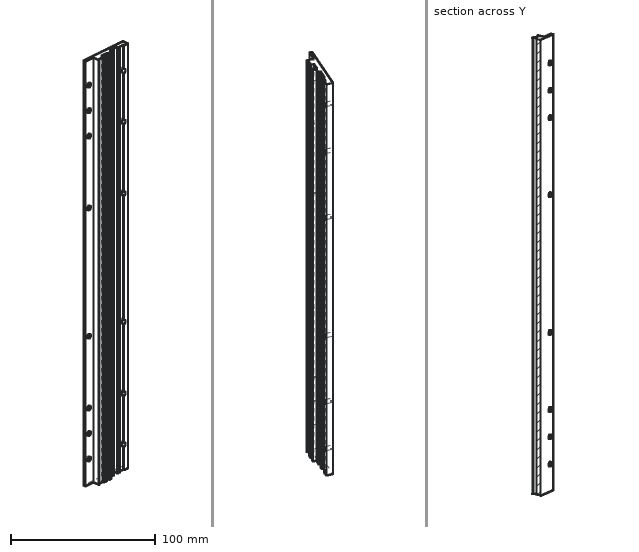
import cadquery as cq

length = 333.0
width = 39.5
back_face = 0.0

flange_level = 2.0
low_slot_floor = 3.0
high_slot_floor = 4.0
low_level = 5.0
high_groove_floor = 6.3
high_level = 7.3
lip_thickness = 0.3

flange_width = 8.0
wall = 0.5
high_block_wall = 1.0
high_groove_start = flange_width + wall
high_groove_width = 4.0
high_slot_start = 14.0
high_slot_width = 5.5
high_slot_mouth_start = 16.0
high_slot_mouth = 2.3
high_block_end = high_slot_start + high_slot_width + high_block_wall
low_slot_start = 23.5
low_slot_width = 7.0
low_slot_mouth_start = 25.5
low_slot_mouth = 3.3
low_groove_start = low_slot_start + low_slot_width + wall
low_groove_width = 4.3
low_groove_floor = 4.0

flange_hole_diameter = 3.3
block_hole_diameter = 3.0
flange_hole_y = 3.5
block_hole_y = 35.5
paired_hole_heights = (50.3, 106.5, 146.5)
flange_only_hole_height = 126.5


def bar(x_start, x_end, y_start, y_end):
    """Full-length rectangular bar centred on mid-length."""
    return cq.Workplane("XY").box(
        x_end - x_start, y_end - y_start, length, centered=(False, False, True)
    ).translate((x_start, y_start, 0))


def lipped_slot(floor, top, start, slot_width, mouth_start, mouth):
    """T-shaped channel whose mouth is narrowed by two lips."""
    cavity = bar(floor, top - lip_thickness, start, start + slot_width)
    opening = bar(floor, top, mouth_start, mouth_start + mouth)
    return cavity.union(opening)


def mirrored(heights):
    return [sign * height for height in heights for sign in (1, -1)]


def side_plane(y):
    """Drilling plane on the back face, with local axes along Y and Z."""
    return cq.Workplane("YZ", origin=(back_face, y, 0))


body = bar(back_face, flange_level, 0, width)
body = body.union(bar(back_face, low_level, flange_width, width))
body = body.union(bar(back_face, high_level, flange_width, high_block_end))

body = body.cut(lipped_slot(
    high_slot_floor, high_level, high_slot_start, high_slot_width,
    high_slot_mouth_start, high_slot_mouth,
))
body = body.cut(lipped_slot(
    low_slot_floor, low_level, low_slot_start, low_slot_width,
    low_slot_mouth_start, low_slot_mouth,
))

body = body.cut(bar(
    high_groove_floor, high_level, high_groove_start, high_groove_start + high_groove_width,
))
body = body.cut(bar(
    low_groove_floor, low_level, low_groove_start, low_groove_start + low_groove_width,
))

flange_heights = mirrored(paired_hole_heights + (flange_only_hole_height,))
body = body.cut(
    side_plane(flange_hole_y)
    .pushPoints([(0, height) for height in flange_heights])
    .circle(flange_hole_diameter / 2)
    .extrude(high_level)
)

body = body.cut(
    side_plane(block_hole_y)
    .pushPoints([(0, height) for height in mirrored(paired_hole_heights)])
    .circle(block_hole_diameter / 2)
    .extrude(high_level)
)

result = body